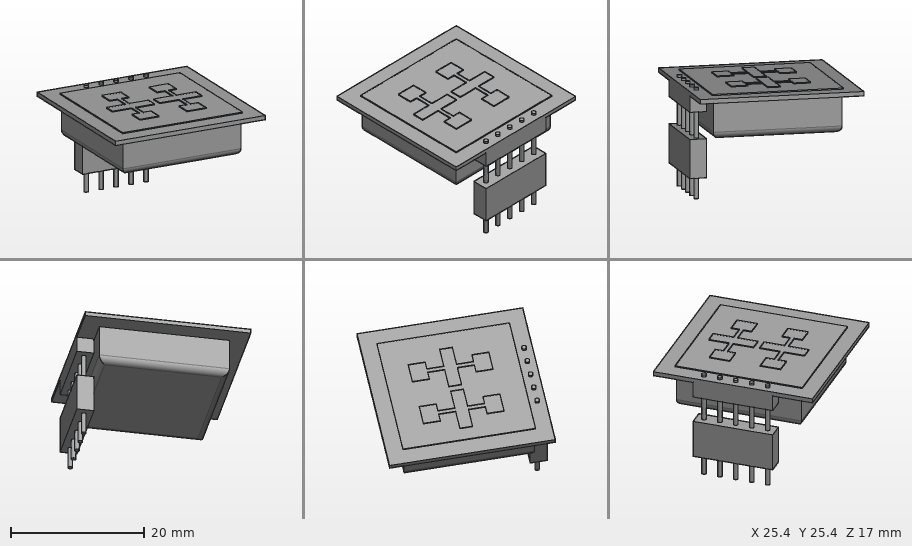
import cadquery as cq

board_size = 25.4
board_thickness = 0.69

film_size = 20.32
film_top = 0.86
electrode_top = 1.02
electrode_unit = 0.65
pad_length = 4 * electrode_unit
pad_width = 5 * electrode_unit
trace_length = 4 * electrode_unit
trace_width = electrode_unit
bar_length = 3 * electrode_unit
bar_width = 11 * electrode_unit
electrode_centers = [(0.05, 4.47), (0.15, -3.6)]

housing_size = 20.0
housing_depth = 6.0
housing_edge_radius = 1.02

pin_count = 5
pin_pitch = 2.55
pin_diameter = 0.7
pin_top = electrode_top
pin_bottom = -15.98
header_width = 2.62
header_length = pin_count * pin_pitch
header_height = 2.5
socket_top = -6.65
socket_height = 6.0
pin_x = -board_size / 2 + header_width / 2


def block(length, width, bottom, top, center=(0, 0)):
    """Box centred at a point in XY, spanning two heights."""
    return (
        cq.Workplane("XY", origin=(center[0], center[1], bottom))
        .rect(length, width)
        .extrude(top - bottom)
    )


def electrode(center):
    """Tall central bar joined by a thin trace to a pad on each side."""
    x, y = center
    pad_offset = bar_length / 2 + trace_length + pad_length / 2
    trace_span = bar_length + 2 * trace_length + pad_length
    shape = block(bar_length, bar_width, board_thickness, electrode_top, center)
    shape = shape.union(block(trace_span, trace_width, board_thickness, electrode_top, center))
    for side in (-1, 1):
        pad_center = (x + side * pad_offset, y)
        shape = shape.union(block(pad_length, pad_width, board_thickness, electrode_top, pad_center))
    return shape


def housing():
    """Square housing with its lower edges rounded."""
    return block(housing_size, housing_size, -housing_depth, 0).faces("<Z").edges().fillet(housing_edge_radius)


def connector():
    """Header, socket and the row of pins through both."""
    center = (pin_x, 0)
    shape = block(header_width, header_length, -header_height, 0, center)
    shape = shape.union(
        block(header_width, header_length, socket_top - socket_height, socket_top, center)
    )
    pins = (
        cq.Workplane("XY", origin=(pin_x, 0, pin_bottom))
        .rarray(0.25, pin_pitch, 1, pin_count)
        .circle(pin_diameter / 2)
        .extrude(pin_top - pin_bottom)
    )
    return shape.union(pins)


result = block(board_size, board_size, 0, board_thickness)
result = result.union(block(film_size, film_size, board_thickness, film_top))
for electrode_center in electrode_centers:
    result = result.union(electrode(electrode_center))
result = result.union(housing()).union(connector())